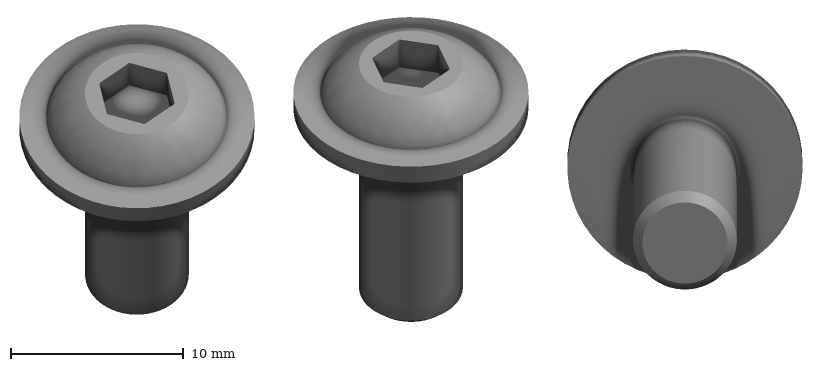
import cadquery as cq
import math

total_height = 17.3
flange_diameter = 13.6
flange_thickness = 1.2
head_height = 3.3
dome_base_diameter = 10.5
dome_top_diameter = 6.0
dome_bulge = 0.26

shank_diameter = 6.0
tip_chamfer = 0.54
neck_fillet = 0.25

hex_across_flats = 4.0
hex_depth = 2.08

flange_bottom = total_height - head_height
flange_top = flange_bottom + flange_thickness
shank_radius = shank_diameter / 2
flange_radius = flange_diameter / 2
dome_base_radius = dome_base_diameter / 2
dome_top_radius = dome_top_diameter / 2


def dome_midpoint():
    """Point on the dome arc halfway between its base and its flat top."""
    run = dome_base_radius - dome_top_radius
    rise = total_height - flange_top
    chord = math.hypot(run, rise)
    middle_radius = (dome_base_radius + dome_top_radius) / 2
    middle_height = (flange_top + total_height) / 2
    return (
        middle_radius + dome_bulge * rise / chord,
        middle_height + dome_bulge * run / chord,
    )


def screw_body():
    """Shank, neck fillet, flange and domed head as one revolved profile."""
    fillet_diagonal = neck_fillet * (1 - math.sqrt(0.5))
    fillet_middle = (shank_radius + fillet_diagonal, flange_bottom - fillet_diagonal)
    profile = (
        cq.Workplane("YZ")
        .lineTo(shank_radius - tip_chamfer, 0)
        .lineTo(shank_radius, tip_chamfer)
        .lineTo(shank_radius, flange_bottom - neck_fillet)
        .threePointArc(fillet_middle, (shank_radius + neck_fillet, flange_bottom))
        .lineTo(flange_radius, flange_bottom)
        .lineTo(flange_radius, flange_top)
        .lineTo(dome_base_radius, flange_top)
        .threePointArc(dome_midpoint(), (dome_top_radius, total_height))
        .lineTo(0, total_height)
        .close()
    )
    return profile.revolve(360, (0, 0, 0), (0, 1, 0))


def hex_socket():
    """Blind hexagonal socket with two corners on the X axis."""
    across_corners = hex_across_flats / math.cos(math.pi / 6)
    return (
        cq.Workplane("XY")
        .workplane(offset=total_height - hex_depth)
        .polygon(6, across_corners)
        .extrude(hex_depth)
    )


result = screw_body().cut(hex_socket())